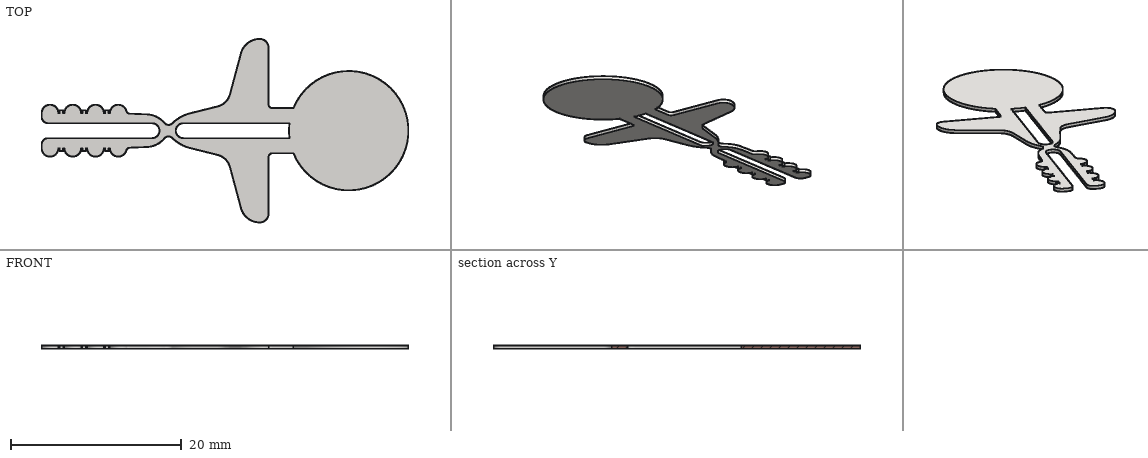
import cadquery as cq

thickness = 0.41
total_length = 43.0

head_radius = 7.0
head_x = total_length - head_radius

neck_half_width = 2.65
neck_fillet = 0.4
wing_back_x = 26.65
wing_span = 21.55
wing_tip_y = wing_span / 2
wing_tip_back_radius = 1.08
wing_tip_front_radius = 2.32
wing_tip_x = wing_back_x - wing_tip_back_radius
wing_front_end = (23.3, 8.9)
wing_root = (21.75, 3.15)
wing_root_fillet = 1.95

waist_x = 14.9
waist_half_width = 0.7
waist_arc_half_length = 0.45
waist_arc_end_y = 0.85
shoulder_mid = (16.35, 1.65)
shoulder_end = (17.65, 2.1)
arm_shoulder_mid = (13.72, 1.5)
arm_shoulder_end = (12.15, 1.95)

slot_half_width = 0.85
fork_slot_end_x = 13.8
rear_slot_start_x = 15.75

lobe_count = 4
lobe_radius = 1.0
lobe_pitch = 2.65
lobe_top_y = 3.05
lobe_y = lobe_top_y - lobe_radius
arm_tip_fillet = 0.77
lobe_root_fillet = 0.45
web_top_y = 2.4
web_width = 0.45
last_lobe_x = lobe_radius + (lobe_count - 1) * lobe_pitch


def plate(x_min, x_max, y_min, y_max):
    """Rectangular piece of the plate between the given limits."""
    return (
        cq.Workplane("XY")
        .rect(x_max - x_min, y_max - y_min)
        .extrude(thickness)
        .translate(((x_min + x_max) / 2, (y_min + y_max) / 2, 0))
    )


def disc(x, y, radius):
    """Round piece of the plate."""
    return cq.Workplane("XY").center(x, y).circle(radius).extrude(thickness)


def round_corner(body, corner, radius):
    """Fillet the upright edge that stands at the given corner."""
    edge = cq.selectors.NearestToPointSelector((*corner, thickness / 2))
    return body.edges("|Z").edges(edge).fillet(radius)


def half_body():
    """Upper half of the arm root, waist, wing and neck."""
    body = (
        cq.Workplane("XY")
        .moveTo(last_lobe_x, 0)
        .lineTo(last_lobe_x, lobe_y)
        .lineTo(*arm_shoulder_end)
        .threePointArc(arm_shoulder_mid, (waist_x - waist_arc_half_length, waist_arc_end_y))
        .threePointArc((waist_x, waist_half_width), (waist_x + waist_arc_half_length, waist_arc_end_y))
        .threePointArc(shoulder_mid, shoulder_end)
        .lineTo(*wing_root)
        .lineTo(*wing_front_end)
        .radiusArc((wing_tip_x, wing_tip_y), wing_tip_front_radius)
        .radiusArc((wing_back_x, wing_tip_y - wing_tip_back_radius), wing_tip_back_radius)
        .lineTo(wing_back_x, neck_half_width)
        .lineTo(head_x, neck_half_width)
        .lineTo(head_x, 0)
        .close()
        .extrude(thickness)
    )
    body = round_corner(body, wing_root, wing_root_fillet)
    return round_corner(body, (wing_back_x, neck_half_width), neck_fillet)


def lobed_arm():
    """Upper fork arm with its lobes and the webs between them."""
    arm = plate(0, last_lobe_x, slot_half_width, lobe_y)
    arm = round_corner(arm, (0, slot_half_width), arm_tip_fillet)
    for index in range(lobe_count):
        arm = arm.union(disc(lobe_radius + index * lobe_pitch, lobe_y, lobe_radius))
    for index in range(lobe_count - 1):
        web_x = lobe_radius + (index + 0.5) * lobe_pitch
        arm = arm.union(plate(web_x - web_width / 2, web_x + web_width / 2, slot_half_width, web_top_y))
    return arm


def fork_slot():
    """Slot open at the fork tips, with a full-round inner end."""
    round_x = fork_slot_end_x - slot_half_width
    return plate(0, round_x, -slot_half_width, slot_half_width).union(disc(round_x, 0, slot_half_width))


def rear_slot():
    """Slot from a full-round front end to the edge of the head."""
    round_x = rear_slot_start_x + slot_half_width
    return plate(round_x, head_x, -slot_half_width, slot_half_width).union(disc(round_x, 0, slot_half_width))


upper_half = half_body().union(lobed_arm())
upper_half = round_corner(upper_half, (last_lobe_x + lobe_radius, lobe_y), lobe_root_fillet)
both_halves = upper_half.union(upper_half.mirror("XZ"))
slotted = both_halves.cut(fork_slot()).cut(rear_slot())
result = slotted.union(disc(head_x, 0, head_radius))